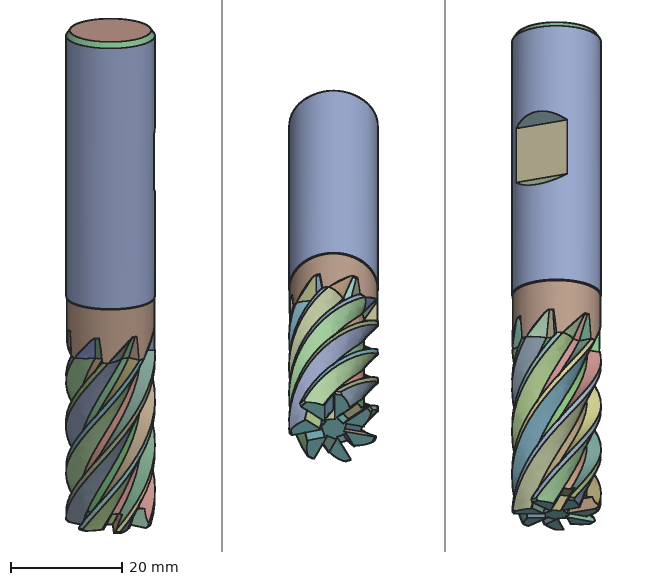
import cadquery as cq
import math

TOOL_LENGTH = 92.0
TOOL_RADIUS = 8.0
CUTTING_LENGTH = 32.0
SHANK_START = 42.2

SHANK_CHAMFER_HEIGHT = 1.0
SHANK_CHAMFER_WIDTH = 0.7
NECK_RADIUS = 7.9
NECK_SHOULDER_HEIGHT = 0.2
FLAT_DEPTH = 1.8
FLAT_LENGTH = 14.0
FLAT_FROM_END = 17.2

FLUTE_COUNT = 7
HELIX_ANGLE = 40.0
TOOTH_PITCH = 360.0 / FLUTE_COUNT
LEAD = 2 * math.pi * TOOL_RADIUS / math.tan(math.radians(HELIX_ANGLE))
EDGE_ANGLE_AT_NECK = -90.0
HEAD_TWIST = 360.0 * CUTTING_LENGTH / LEAD
END_EDGE_ANGLE = EDGE_ANGLE_AT_NECK - HEAD_TWIST
LAND_ANGLE = 8.0
HEEL_ANGLE = LAND_ANGLE - TOOTH_PITCH
GULLET_RADIUS = 5.5
GULLET_FRONT_ANGLE = -4.0
GULLET_BACK_ANGLE = -19.0
RELIEF_BULGE = 0.15
CUTTER_CLEARANCE = 1.0

RUNOUT_LENGTH = 4.5
RUNOUT_HEEL_ANGLE = -12.0
RUNOUT_GULLET_BACK_ANGLE = -10.0
RUNOUT_GULLET_FRONT_ANGLE = -5.0
RUNOUT_EDGE_ANGLE = -3.5
RUNOUT_GULLET_RADIUS = 7.6

CORNER_CHAMFER = 0.4
GASH_HEIGHT = 3.0
GASH_CUTTER_HEIGHT = 4 * GASH_HEIGHT
GASH_WIDTH = 1.6
GASH_INNER_RADIUS = 2.0
GASH_OFFSET = 0.25
GASH_TILT = 27.0


def polar(radius, angle):
    """Point in the XY plane at a radius and an angle in degrees."""
    return radius * math.cos(math.radians(angle)), radius * math.sin(math.radians(angle))


def about_axis(shape, angle):
    return shape.rotate((0, 0, 0), (0, 0, 1), angle)


def trace_flute(sketch, heel_angle, gullet_back_angle, gullet_front_angle, edge_angle, gullet_radius):
    """Continue an outline from the land heel through relief, gullet and rake face to the cutting edge."""
    heel = polar(TOOL_RADIUS, heel_angle)
    gullet_back = polar(gullet_radius, gullet_back_angle)
    gullet_middle = polar(gullet_radius, (gullet_back_angle + gullet_front_angle) / 2)
    gullet_front = polar(gullet_radius, gullet_front_angle)
    relief_middle_radius = math.hypot(heel[0] + gullet_back[0], heel[1] + gullet_back[1]) / 2
    relief_middle = polar(relief_middle_radius + RELIEF_BULGE, (heel_angle + gullet_back_angle) / 2)
    return (
        sketch.threePointArc(relief_middle, gullet_back)
        .threePointArc(gullet_middle, gullet_front)
        .lineTo(*polar(TOOL_RADIUS, edge_angle))
    )


def tooth_section(edge_angle):
    """Cross-section of the whole cutting head at its lower end."""
    sketch = cq.Workplane("XY").moveTo(*polar(TOOL_RADIUS, edge_angle + HEEL_ANGLE))
    for tooth in range(FLUTE_COUNT):
        tooth_angle = edge_angle + tooth * TOOTH_PITCH
        sketch = trace_flute(
            sketch,
            tooth_angle + HEEL_ANGLE,
            tooth_angle + GULLET_BACK_ANGLE,
            tooth_angle + GULLET_FRONT_ANGLE,
            tooth_angle,
            GULLET_RADIUS,
        )
        land_middle = polar(TOOL_RADIUS, tooth_angle + LAND_ANGLE / 2)
        land_heel = polar(TOOL_RADIUS, tooth_angle + LAND_ANGLE)
        sketch = sketch.threePointArc(land_middle, land_heel)
    return sketch.close()


def runout_section(sketch, heel_angle, gullet_back_angle, gullet_front_angle, edge_angle, gullet_radius):
    """Section of one flute ending in the neck, extended past the tool's surface."""
    outer_radius = TOOL_RADIUS + CUTTER_CLEARANCE
    outer_start = polar(outer_radius, heel_angle)
    outer_middle = polar(outer_radius, (edge_angle + heel_angle) / 2)
    sketch = sketch.moveTo(*outer_start).lineTo(*polar(TOOL_RADIUS, heel_angle))
    sketch = trace_flute(
        sketch, heel_angle, gullet_back_angle, gullet_front_angle, edge_angle, gullet_radius
    )
    return sketch.lineTo(*polar(outer_radius, edge_angle)).threePointArc(outer_middle, outer_start).close()


def runout_flute():
    """Flute end in the neck: it narrows from the helical side while its floor rises outwards."""
    base = cq.Workplane("XY", origin=(0, 0, CUTTING_LENGTH))
    base = runout_section(
        base, HEEL_ANGLE, GULLET_BACK_ANGLE, GULLET_FRONT_ANGLE, 0, GULLET_RADIUS
    )
    flute = runout_section(
        base.workplane(offset=RUNOUT_LENGTH),
        RUNOUT_HEEL_ANGLE,
        RUNOUT_GULLET_BACK_ANGLE,
        RUNOUT_GULLET_FRONT_ANGLE,
        RUNOUT_EDGE_ANGLE,
        RUNOUT_GULLET_RADIUS,
    ).loft(ruled=True)
    return about_axis(flute, EDGE_ANGLE_AT_NECK)


def end_gash():
    """Tilted slot ahead of one cutting edge that opens the gullet across the end face."""
    gash_length = TOOL_RADIUS + CUTTER_CLEARANCE - GASH_INNER_RADIUS
    slot = (
        cq.Workplane("XY")
        .box(gash_length, GASH_WIDTH, GASH_CUTTER_HEIGHT, centered=(False, False, True))
        .translate((GASH_INNER_RADIUS, GASH_OFFSET - GASH_WIDTH, 0))
        .rotate((0, 0, 0), (1, 0, 0), -GASH_TILT)
    )
    below_ceiling = cq.Workplane("XY").circle(2 * TOOL_RADIUS).extrude(GASH_HEIGHT)
    return about_axis(slot.intersect(below_ceiling), END_EDGE_ANGLE)


def corner_ring():
    """Ring that chamfers the outer corner of the teeth at the end face."""
    return (
        cq.Workplane("XZ")
        .polyline([
            (TOOL_RADIUS - CORNER_CHAMFER, 0),
            (TOOL_RADIUS + CUTTER_CLEARANCE, 0),
            (TOOL_RADIUS + CUTTER_CLEARANCE, CORNER_CHAMFER + CUTTER_CLEARANCE),
        ])
        .close()
        .revolve(360, (0, 0, 0), (0, 1, 0))
    )


def cutting_head():
    head = tooth_section(END_EDGE_ANGLE).twistExtrude(CUTTING_LENGTH, HEAD_TWIST)
    gash = end_gash()
    for tooth in range(FLUTE_COUNT):
        head = head.cut(about_axis(gash, tooth * TOOTH_PITCH))
    return head.cut(corner_ring())


def clamping_flat():
    """Notch with 45 degree ends, across the +Y side of the shank."""
    top = TOOL_LENGTH - FLAT_FROM_END
    bottom = top - FLAT_LENGTH
    floor = TOOL_RADIUS - FLAT_DEPTH
    return (
        cq.Workplane("YZ")
        .polyline([
            (TOOL_RADIUS, bottom),
            (floor, bottom + FLAT_DEPTH),
            (floor, top - FLAT_DEPTH),
            (TOOL_RADIUS, top),
        ])
        .close()
        .extrude(TOOL_RADIUS, both=True)
    )


def shank_with_neck():
    body = (
        cq.Workplane("XZ")
        .polyline([
            (0, CUTTING_LENGTH),
            (NECK_RADIUS, CUTTING_LENGTH),
            (NECK_RADIUS, SHANK_START - NECK_SHOULDER_HEIGHT),
            (TOOL_RADIUS, SHANK_START),
            (TOOL_RADIUS, TOOL_LENGTH - SHANK_CHAMFER_HEIGHT),
            (TOOL_RADIUS - SHANK_CHAMFER_WIDTH, TOOL_LENGTH),
            (0, TOOL_LENGTH),
        ])
        .close()
        .revolve(360, (0, 0, 0), (0, 1, 0))
    )
    body = body.cut(clamping_flat())
    runout = runout_flute()
    for tooth in range(FLUTE_COUNT):
        body = body.cut(about_axis(runout, tooth * TOOTH_PITCH))
    return body


head = cutting_head()
shank = shank_with_neck()

result = cq.Compound.makeCompound([head.val(), shank.val()])